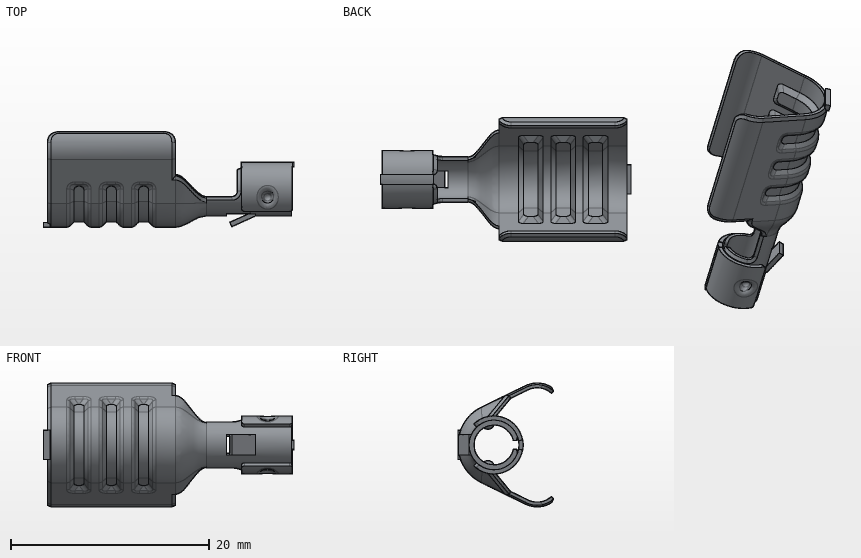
import cadquery as cq
import math


SHEET = 0.5
BEVEL_WIDTH = 0.38
BEVEL_DEPTH = 0.18

CRADLE_START = 0.4
CRADLE_END = 13.33
CRADLE_BOTTOM = -3.65
CRADLE_RADIUS = 4.25
CRADLE_HEIGHT = 12.52
LEG_ANGLE = 26.0
LIP_RADIUS = 2.63
LIP_TOP = 6.02
LIP_CORNER_RADIUS = 1.21

RIB_COUNT = 3
RIB_FIRST = 3.6
RIB_PITCH = 3.25
RIB_DEPTH = 0.53
RIB_WALL_ANGLE = 45.0
RIB_FLOOR_HALF_WIDTH = 0.5
RIB_FLOOR_END = 0.28
RIB_CORNER_RADIUS = 0.48
RIB_MOUTH_FILLET = 0.48

TAB_LENGTH = 0.65
TAB_HALF_WIDTH = 1.5

FUNNEL_TOP = 1.7
FUNNEL_SECTIONS = 6
FUNNEL_OVERLAP = 0.4
NECK_START = 16.45
NECK_LEG_ANGLE = 28.0
BARREL_RADIUS = 2.5
BARREL_START = 19.55
BARREL_END = 25.04
NECK_EDGE_HEIGHT = -0.53
NECK_CORNER_RADIUS = 0.53
BARREL_SLOT_HALF_WIDTH = 0.43
BARREL_CORNER_RADIUS = 0.5

WINDOW_START = 18.49
WINDOW_END = 21.4
WINDOW_HALF_WIDTH = 1.04
TONGUE_LENGTH = 2.63
TONGUE_ANGLE = 24.3

SLEEVE_SHEET = 0.43
SLEEVE_START = 20.0
SLEEVE_END = 25.11
SLEEVE_HALF_ANGLE = 134.0
SLEEVE_CORNER_RADIUS = 0.3
SEAM_START = 19.93
SEAM_END = 25.3
SEAM_HALF_WIDTH = 0.5
SEAM_RADIUS = 2.95

DIMPLE_X = 22.6
DIMPLE_Y = -0.6
DIMPLE_CENTRE_Z = 2.23
DIMPLE_HOLLOW_RADIUS = 0.4
DIMPLE_SEAT_RADIUS = 0.53
DIMPLE_DOME_RADIUS = 0.65
DIMPLE_FLARE_ANGLE = 25.0
DIMPLE_RIM_FILLET = 0.53

BARREL_BORE = BARREL_RADIUS - SHEET
SLEEVE_RADIUS = BARREL_RADIUS + SLEEVE_SHEET
CRADLE_AXIS_Y = CRADLE_BOTTOM + CRADLE_RADIUS
SIN_LEG = math.sin(math.radians(LEG_ANGLE))
COS_LEG = math.cos(math.radians(LEG_ANGLE))
TAN_LEG = SIN_LEG / COS_LEG
LIP_AXIS_Z = CRADLE_HEIGHT / 2 - LIP_RADIUS
LEG_FOOT_Y = CRADLE_AXIS_Y - CRADLE_RADIUS * SIN_LEG
LEG_FOOT_Z = CRADLE_RADIUS * COS_LEG
LEG_HEAD_Z = LIP_AXIS_Z + LIP_RADIUS * COS_LEG
LIP_AXIS_Y = LEG_FOOT_Y + (LEG_HEAD_Z - LEG_FOOT_Z) / TAN_LEG + LIP_RADIUS * SIN_LEG
LIP_END_ANGLE = math.degrees(math.asin((LIP_TOP - LIP_AXIS_Y) / (LIP_RADIUS - BEVEL_DEPTH)))


def polar(centre_y, centre_z, radius, angle):
    """Point (Y, Z) at an angle measured from +Z towards +Y."""
    turn = math.radians(angle)
    return (centre_y + radius * math.sin(turn), centre_z + radius * math.cos(turn))


def mirrored(point):
    return (point[0], -point[1])


def prism(outline, start, end):
    return outline.extrude(end - start).translate((start, 0, 0))


def lip_point(depth, angle):
    return polar(LIP_AXIS_Y, LIP_AXIS_Z, LIP_RADIUS - depth, angle)


def base_point(depth, angle):
    return polar(CRADLE_AXIS_Y, 0, CRADLE_RADIUS - depth, angle)


def make_cradle():
    middle_angle = (LIP_END_ANGLE - LEG_ANGLE) / 2
    outline = cq.Workplane("YZ").moveTo(*lip_point(0, LIP_END_ANGLE))
    outline = outline.threePointArc(lip_point(0, middle_angle), lip_point(0, -LEG_ANGLE))
    outline = outline.lineTo(*base_point(0, -LEG_ANGLE))
    outline = outline.threePointArc(base_point(0, -90), mirrored(base_point(0, -LEG_ANGLE)))
    outline = outline.lineTo(*mirrored(lip_point(0, -LEG_ANGLE)))
    outline = outline.threePointArc(
        mirrored(lip_point(0, middle_angle)), mirrored(lip_point(0, LIP_END_ANGLE))
    )
    outline = outline.lineTo(*mirrored(lip_point(SHEET, LIP_END_ANGLE)))
    outline = outline.threePointArc(
        mirrored(lip_point(SHEET, middle_angle)), mirrored(lip_point(SHEET, -LEG_ANGLE))
    )
    outline = outline.lineTo(*mirrored(base_point(SHEET, -LEG_ANGLE)))
    outline = outline.threePointArc(base_point(SHEET, -90), base_point(SHEET, -LEG_ANGLE))
    outline = outline.lineTo(*lip_point(SHEET, -LEG_ANGLE))
    outline = outline.threePointArc(lip_point(SHEET, middle_angle), lip_point(SHEET, LIP_END_ANGLE))
    cradle = prism(outline.close(), CRADLE_START, CRADLE_END)
    for side in (1, -1):
        tip_y, tip_z = lip_point(SHEET / 2, LIP_END_ANGLE)
        corners = cq.selectors.BoxSelector(
            (0, tip_y - SHEET, side * tip_z - SHEET),
            (CRADLE_END + SHEET, tip_y + SHEET, side * tip_z + SHEET),
        )
        cradle = cradle.edges(corners).edges("not |X").fillet(LIP_CORNER_RADIUS)
    outer_rim = cq.selectors.NearestToPointSelector((CRADLE_START, CRADLE_BOTTOM, 0))
    cradle = cradle.edges(outer_rim).chamfer(BEVEL_DEPTH, BEVEL_WIDTH)
    tab = cq.Workplane("XY").box(TAB_LENGTH, SHEET, 2 * TAB_HALF_WIDTH, centered=(False, False, True))
    return cradle.union(tab.translate((0, CRADLE_BOTTOM, 0)))


def rib_leg_outline(plane, half_width, reach):
    """Strip up the leg with a rounded end."""
    corner = RIB_CORNER_RADIUS
    return (
        plane.moveTo(0, half_width)
        .lineTo(reach - corner, half_width)
        .tangentArcPoint((corner, -corner))
        .lineTo(reach, corner - half_width)
        .tangentArcPoint((-corner, -corner))
        .lineTo(0, -half_width)
        .close()
    )


def rib_leg(top, floor, top_half, floor_half):
    """Rib part along the +Z leg: slopes from the floor outline up to the wider top outline."""
    leg = cq.Plane(
        origin=(0, LEG_FOOT_Y, LEG_FOOT_Z),
        xDir=(0, COS_LEG, SIN_LEG),
        normal=(0, -SIN_LEG, COS_LEG),
    )
    floor_reach = (RIB_FLOOR_END - LEG_FOOT_Y) / COS_LEG + floor_half - RIB_FLOOR_HALF_WIDTH
    top_reach = floor_reach + top_half - floor_half
    outlines = rib_leg_outline(cq.Workplane(leg).workplane(offset=-floor), floor_half, floor_reach)
    outlines = rib_leg_outline(outlines.workplane(offset=floor - top), top_half, top_reach)
    return outlines.loft(ruled=True)


def rib_shape(top, floor, floor_half):
    """Trapezoid swept round the cradle base and up both legs, between two depths."""
    top_half = floor_half + (floor - top) / math.tan(math.radians(RIB_WALL_ANGLE))
    bend = (
        cq.Workplane("XY")
        .polyline([
            (-floor_half, CRADLE_BOTTOM + floor),
            (floor_half, CRADLE_BOTTOM + floor),
            (top_half, CRADLE_BOTTOM + top),
            (-top_half, CRADLE_BOTTOM + top),
        ])
        .close()
        .revolve(180 - 2 * LEG_ANGLE, (0, CRADLE_AXIS_Y, 0), (1, CRADLE_AXIS_Y, 0))
        .rotate((0, CRADLE_AXIS_Y, 0), (1, CRADLE_AXIS_Y, 0), LEG_ANGLE - 90)
    )
    leg = rib_leg(top, floor, top_half, floor_half)
    return bend.union(leg).union(leg.mirror("XY"))


def press_ribs(terminal):
    bump_half = RIB_FLOOR_HALF_WIDTH + SHEET * math.tan(math.radians(RIB_WALL_ANGLE / 2))
    bump = rib_shape(SHEET / 2, RIB_DEPTH + SHEET, bump_half)
    groove = rib_shape(0, RIB_DEPTH, RIB_FLOOR_HALF_WIDTH)
    mouth_half = RIB_FLOOR_HALF_WIDTH + RIB_DEPTH / math.tan(math.radians(RIB_WALL_ANGLE))
    for index in range(RIB_COUNT):
        place = (RIB_FIRST + index * RIB_PITCH, 0, 0)
        terminal = terminal.union(bump.translate(place)).cut(groove.translate(place))
        mouth = cq.selectors.NearestToPointSelector(
            (place[0] + mouth_half, CRADLE_BOTTOM, 0)
        )
        terminal = terminal.edges(mouth).fillet(RIB_MOUTH_FILLET)
    return terminal


def funnel_section(blend):
    """Closed outline: round base and two straight legs with bevelled outer tips."""
    def mix(start, end):
        return start + (end - start) * blend

    radius = mix(CRADLE_RADIUS, BARREL_RADIUS)
    centre_y = mix(CRADLE_BOTTOM, -BARREL_RADIUS) + radius
    angle = mix(LEG_ANGLE, NECK_LEG_ANGLE)
    turn = math.radians(angle)
    leg = (mix(FUNNEL_TOP, NECK_EDGE_HEIGHT) - centre_y + (radius - SHEET) * math.sin(turn)) / math.cos(turn)

    def foot(depth):
        return polar(centre_y, 0, radius - depth, -angle)

    def along(depth, length):
        y, z = foot(depth)
        return (y + length * math.cos(turn), z + length * math.sin(turn))

    half = [foot(0), along(0, leg - BEVEL_WIDTH), along(BEVEL_DEPTH, leg), along(SHEET, leg), foot(SHEET)]
    outer_base = (centre_y - radius, 0)
    inner_base = (centre_y - radius + SHEET, 0)
    outline = cq.Workplane("YZ").moveTo(*half[0])
    for point in half[1:]:
        outline = outline.lineTo(*point)
    outline = outline.threePointArc(inner_base, mirrored(half[-1]))
    for point in half[-2::-1]:
        outline = outline.lineTo(*mirrored(point))
    return outline.threePointArc(outer_base, half[0]).close()


def make_funnel():
    wires = []
    for index in range(FUNNEL_SECTIONS):
        step = index / (FUNNEL_SECTIONS - 1)
        section = funnel_section(step * step * (3 - 2 * step))
        x = CRADLE_END + step * (NECK_START - CRADLE_END)
        wires.append(section.translate((x, 0, 0)).wires().val())
    funnel = cq.Workplane(cq.Solid.makeLoft(wires))
    root = prism(funnel_section(0), CRADLE_END - FUNNEL_OVERLAP, CRADLE_END)
    return funnel.union(root)


def cylinder(radius, start, end):
    return prism(cq.Workplane("YZ").circle(radius), start, end)


def make_barrel():
    barrel = cylinder(BARREL_RADIUS, NECK_START, BARREL_END)
    barrel = barrel.cut(cylinder(BARREL_BORE, NECK_START, BARREL_END))
    opening = (
        cq.Workplane("XY")
        .moveTo(NECK_START, NECK_EDGE_HEIGHT)
        .lineTo(BARREL_START - NECK_CORNER_RADIUS, NECK_EDGE_HEIGHT)
        .tangentArcPoint((NECK_CORNER_RADIUS, NECK_CORNER_RADIUS))
        .lineTo(BARREL_START, 2 * BARREL_RADIUS)
        .lineTo(NECK_START, 2 * BARREL_RADIUS)
        .close()
        .extrude(2 * BARREL_RADIUS, both=True)
    )
    slot = cq.Workplane("XY").box(
        BARREL_END, 2 * BARREL_RADIUS, 2 * BARREL_SLOT_HALF_WIDTH, centered=(False, False, True)
    )
    barrel = barrel.cut(opening).cut(slot)
    for side in (1, -1):
        corner = cq.selectors.NearestToPointSelector(
            (BARREL_START, BARREL_RADIUS - SHEET / 2, side * BARREL_SLOT_HALF_WIDTH)
        )
        barrel = barrel.edges(corner).fillet(BARREL_CORNER_RADIUS)
    for side in (1, -1):
        neck_edge = cq.selectors.NearestToPointSelector(
            ((NECK_START + BARREL_START - NECK_CORNER_RADIUS) / 2, NECK_EDGE_HEIGHT, side * BARREL_RADIUS)
        )
        barrel = barrel.edges(neck_edge).chamfer(BEVEL_WIDTH, BEVEL_DEPTH)
    return barrel


def cut_tongue(terminal):
    """Window with radial side walls, and the tongue bent outwards from its far end."""
    wall_y = -math.sqrt(BARREL_RADIUS**2 - WINDOW_HALF_WIDTH**2)
    window = (
        cq.Workplane("YZ")
        .polyline([
            (0, 0),
            (2 * wall_y, 2 * WINDOW_HALF_WIDTH),
            (2 * wall_y, -2 * WINDOW_HALF_WIDTH),
        ])
        .close()
    )
    terminal = terminal.cut(prism(window, WINDOW_START, WINDOW_END))
    turn = math.radians(TONGUE_ANGLE)
    tip = (WINDOW_END - TONGUE_LENGTH * math.cos(turn), -BARREL_RADIUS - TONGUE_LENGTH * math.sin(turn))
    tongue = (
        cq.Workplane("XY")
        .polyline([
            (WINDOW_END, -BARREL_RADIUS),
            tip,
            (tip[0] - SHEET * math.sin(turn), tip[1] + SHEET * math.cos(turn)),
            (WINDOW_END, -BARREL_RADIUS + SHEET / math.cos(turn)),
        ])
        .close()
        .extrude(WINDOW_HALF_WIDTH, both=True)
    )
    return terminal.union(tongue)


def dimple_shape(radius, side):
    """Round-ended cone about a line along Z, widening outwards."""
    flare = math.radians(DIMPLE_FLARE_ANGLE)
    blend_radius = radius * math.cos(flare)
    blend_z = -radius * math.sin(flare)
    top_z = SLEEVE_RADIUS - DIMPLE_CENTRE_Z + SHEET
    top_radius = blend_radius + (top_z - blend_z) * math.tan(flare)
    middle = math.radians((90 + DIMPLE_FLARE_ANGLE) / 2)
    shape = (
        cq.Workplane("XZ")
        .moveTo(0, -radius)
        .threePointArc(
            (radius * math.cos(middle), -radius * math.sin(middle)),
            (blend_radius, blend_z),
        )
        .lineTo(top_radius, top_z)
        .lineTo(0, top_z)
        .close()
        .revolve(360, (0, 0, 0), (0, 1, 0))
        .translate((DIMPLE_X, DIMPLE_Y, DIMPLE_CENTRE_Z))
    )
    return shape if side > 0 else shape.mirror("XY")


def press_dimples(terminal):
    blank = cylinder(BARREL_RADIUS, BARREL_START, BARREL_END)
    for side in (1, -1):
        dome = dimple_shape(DIMPLE_DOME_RADIUS, side).intersect(blank)
        terminal = terminal.union(dome).cut(dimple_shape(DIMPLE_SEAT_RADIUS, side))
    return terminal


def make_terminal():
    terminal = press_ribs(make_cradle()).union(make_funnel())
    return terminal.union(press_dimples(cut_tongue(make_barrel())))


def ring_sector(outer_radius, half_angle, start, end):
    """Part of a ring fitting the barrel, centred on +Y, from one axial place to another."""
    outer_edge = polar(0, 0, outer_radius, 90 - half_angle)
    inner_edge = polar(0, 0, BARREL_RADIUS, 90 - half_angle)
    outline = (
        cq.Workplane("YZ")
        .moveTo(*outer_edge)
        .threePointArc((outer_radius, 0), mirrored(outer_edge))
        .lineTo(*mirrored(inner_edge))
        .threePointArc((BARREL_RADIUS, 0), inner_edge)
        .close()
    )
    return prism(outline, start, end)


def make_sleeve():
    sleeve = ring_sector(SLEEVE_RADIUS, SLEEVE_HALF_ANGLE, SLEEVE_START, SLEEVE_END)
    sleeve = sleeve.edges("%LINE").edges("not |X").fillet(SLEEVE_CORNER_RADIUS)
    seam_half_angle = math.degrees(math.asin(SEAM_HALF_WIDTH / SEAM_RADIUS))
    sleeve = sleeve.union(ring_sector(SEAM_RADIUS, seam_half_angle, SEAM_START, SEAM_END))
    blank = cylinder(SLEEVE_RADIUS, SLEEVE_START, SLEEVE_END)
    for side in (1, -1):
        seat = dimple_shape(DIMPLE_SEAT_RADIUS, side).intersect(blank)
        sleeve = sleeve.union(seat).cut(dimple_shape(DIMPLE_HOLLOW_RADIUS, side))
        rim = cq.selectors.NearestToPointSelector((DIMPLE_X, DIMPLE_Y, side * SLEEVE_RADIUS))
        sleeve = sleeve.edges(rim).fillet(DIMPLE_RIM_FILLET)
    return sleeve


terminal = make_terminal()
sleeve = make_sleeve()
result = cq.Compound.makeCompound([terminal.val(), sleeve.val()])